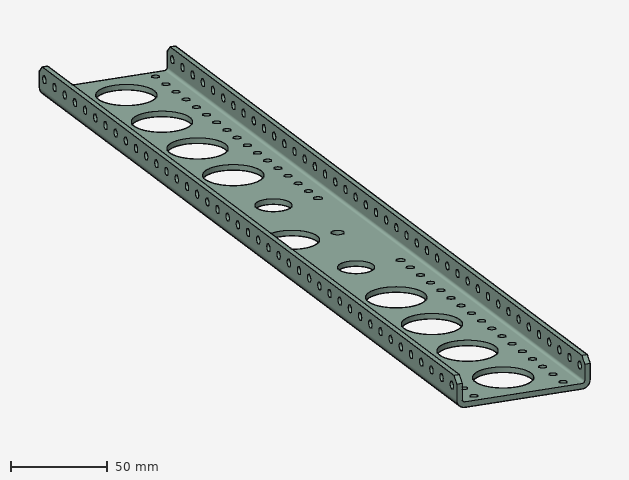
import cadquery as cq

length = 520.5
width = 76.0
height = 17.0
thickness = 3.0
bend_outer_radius = 4.5
bend_inner_radius = bend_outer_radius - thickness
flange_corner_chamfer = 3.5

flange_hole_count = 41
pitch = length / flange_hole_count
flange_hole_diameter = 4.0
flange_hole_height = 11.0

web_hole_diameter = 4.0
web_holes_per_end = 16
web_row_offset = 2 * pitch
first_web_hole_x = length / 2 - pitch / 2

lightening_diameter = 32.0
lightening_spacing = 3.5 * pitch
lightening_per_end = 4
first_lightening_x = length / 2 - 2 * pitch
middle_diameter = 19.5
middle_x = 51.5
middle_row_hole_diameter = 4.5

offset_hole_y = 13.0
large_offset_diameter = 28.5
small_offset_diameter = 7.0


def make_channel():
    """U-shaped sheet with its web on Z = 0 and both flanges pointing up."""
    outer = (
        cq.Workplane("XY")
        .box(length, width, height, centered=(True, True, False))
        .edges("|X and <Z")
        .fillet(bend_outer_radius)
    )
    inner = (
        cq.Workplane("XY")
        .workplane(offset=thickness)
        .box(length, width - 2 * thickness, height, centered=(True, True, False))
        .edges("|X and <Z")
        .fillet(bend_inner_radius)
    )
    return outer.cut(inner)


def chamfer_flange_corners(channel):
    """Break the top corners at the ends of both flanges."""
    end_faces = channel.faces("<X or >X")
    top_corners = end_faces.edges("|Y and >Z")
    return top_corners.chamfer(flange_corner_chamfer)


def web_cutters(points, diameter):
    """Vertical cylinders that pass through the web."""
    return cq.Workplane("XY").pushPoints(points).circle(diameter / 2).extrude(height)


def flange_cutters():
    """Crosswise cylinders that pass through both flanges."""
    return (
        cq.Workplane("XZ", origin=(0, 0, flange_hole_height))
        .rarray(pitch, 5, flange_hole_count, 1)
        .circle(flange_hole_diameter / 2)
        .extrude(width, both=True)
    )


web_hole_points = []
lightening_points = []
middle_points = []
middle_row_points = []
for end in (-1, 1):
    for i in range(web_holes_per_end):
        x = end * (first_web_hole_x - i * pitch)
        for side in (-1, 1):
            web_hole_points.append((x, side * web_row_offset))
    for i in range(lightening_per_end):
        lightening_points.append((end * (first_lightening_x - i * lightening_spacing), 0))
    middle_points.append((end * middle_x, 0))
    for side in (-1, 1):
        middle_row_points.append((end * middle_x, side * web_row_offset))

result = (
    chamfer_flange_corners(make_channel())
    .cut(flange_cutters())
    .cut(web_cutters(web_hole_points, web_hole_diameter))
    .cut(web_cutters(lightening_points, lightening_diameter))
    .cut(web_cutters(middle_points, middle_diameter))
    .cut(web_cutters(middle_row_points, middle_row_hole_diameter))
    .cut(web_cutters([(0, -offset_hole_y)], large_offset_diameter))
    .cut(web_cutters([(0, offset_hole_y)], small_offset_diameter))
)